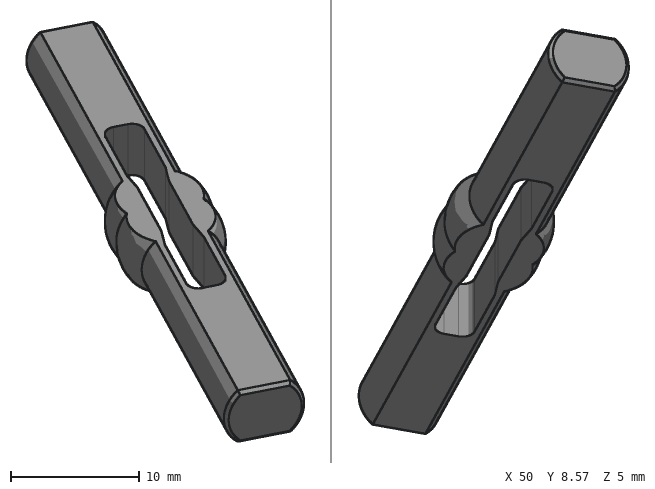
import cadquery as cq
import math

length = 50.0
bar_radius = 3.3
thickness = 5.0
end_chamfer = 0.3

swell_half_length = 4.15
crest_offset = 1.45
swell_arc_radius = 4.2

slot_half_length = 11.1
slot_half_width = 1.6
slot_corner_radius = 1.0
waist_half_width = 1.3
waist_half_length = 3.0
taper_half_length = 4.8


def make_rod():
    return cq.Workplane("YZ").circle(bar_radius).extrude(length / 2, both=True)


def arc_drop(run):
    """How far the profile arc falls below its crest at a distance along the bar."""
    return swell_arc_radius - math.sqrt(swell_arc_radius**2 - run**2)


crest_radius = bar_radius + arc_drop(swell_half_length - crest_offset)
valley_radius = crest_radius - arc_drop(crest_offset)


def make_swell():
    """Two convex arcs meeting in a shallow valley, revolved about the bar's axis."""
    valley = (0, valley_radius)
    return (
        cq.Workplane("XY")
        .moveTo(-swell_half_length, 0)
        .lineTo(-swell_half_length, bar_radius)
        .threePointArc((-crest_offset, crest_radius), valley)
        .threePointArc((crest_offset, crest_radius), (swell_half_length, bar_radius))
        .lineTo(swell_half_length, 0)
        .close()
        .revolve(360, (0, 0, 0), (1, 0, 0))
    )


def make_slot():
    """Rounded rectangle whose long sides step inward to the waist through tapers."""
    slot = (
        cq.Workplane("XY")
        .rect(2 * slot_half_length, 2 * slot_half_width)
        .extrude(thickness / 2, both=True)
        .edges("|Z")
        .fillet(slot_corner_radius)
    )
    for side in (-1, 1):
        waist_wall = (
            cq.Workplane("XY")
            .moveTo(-taper_half_length, side * slot_half_width)
            .lineTo(-waist_half_length, side * waist_half_width)
            .lineTo(waist_half_length, side * waist_half_width)
            .lineTo(taper_half_length, side * slot_half_width)
            .close()
            .extrude(thickness / 2, both=True)
        )
        slot = slot.cut(waist_wall)
    return slot


flats = cq.Workplane("XY").box(length, 2 * crest_radius, thickness)

bar = make_rod().intersect(flats).faces("<X or >X").chamfer(end_chamfer)
swell = make_swell().intersect(flats)

result = bar.union(swell).cut(make_slot())